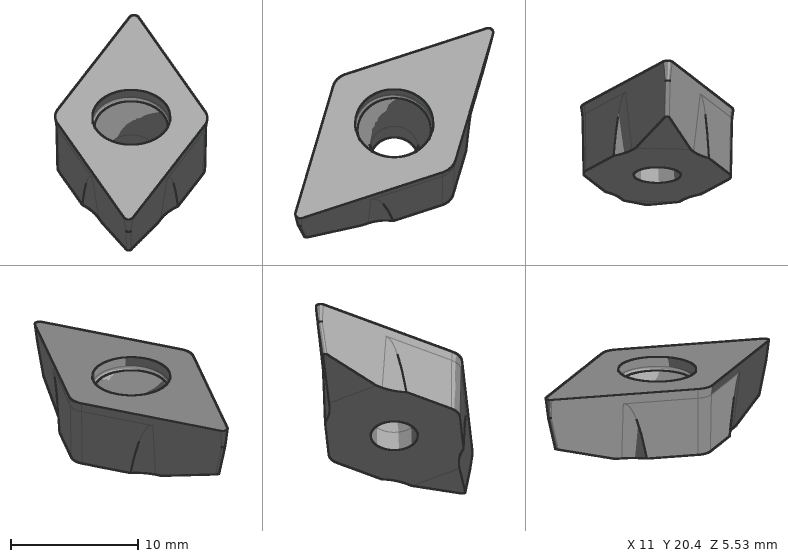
import cadquery as cq
import math

width = 11.0
thickness = 5.53
nose_angle = 55.0
nose_radius = 0.4
blunt_radius = 1.6

relief_angle = 7.0
support_angle = 1.0
support_height = 4.73
cone_height = 3.95
runout_radius = 4.0
runout_offset = 4.0
support_half_length = 7.0

bevel_angle = 15.7
bevel_start = 6.25

bore_diameter = 3.7
head_diameter = 6.14
head_depth = 0.8
seat_diameter = 5.76
wall_fillet = 0.3
seat_angle = 42.0

half_width = width / 2
half_nose = math.radians(nose_angle / 2)
relief_slope = math.tan(math.radians(relief_angle))
support_inset = (thickness - support_height) * relief_slope
cone_inset = (thickness - cone_height) * relief_slope
diagonal_angle = 90 + nose_angle / 2
z_axis = ((0, 0, 0), (0, 0, 1))
big = 4 * width


def rhombus(inset, z):
    """Sharp rhombus at height z, with every side moved inwards by inset; two sides run along Y."""
    reach = half_width - inset
    acute_y = reach / math.tan(half_nose)
    obtuse_y = reach * math.tan(half_nose)
    corners = [(-reach, acute_y), (-reach, -obtuse_y), (reach, -acute_y), (reach, obtuse_y)]
    return cq.Workplane("XY", origin=(0, 0, z)).polyline(corners).close()


def round_corners(prism, acute_radius, obtuse_radius):
    """Fillet the four corner edges of a rhombic prism; the acute pair lies farthest from Z."""
    edges = prism.edges("not #Z").vals()
    edges.sort(key=lambda edge: math.hypot(edge.Center().x, edge.Center().y))
    obtuse_pair = edges[:2]
    acute_pair = edges[2:]
    prism = prism.newObject(acute_pair).fillet(acute_radius)
    return prism.newObject(obtuse_pair).fillet(obtuse_radius)


def rounded_prism(inset, z, acute_radius, obtuse_radius, height, draft):
    """Rounded rhombus extruded downwards from z, narrowing by the draft angle."""
    blank = round_corners(rhombus(inset, z).extrude(-height), acute_radius, obtuse_radius)
    outline = blank.faces(">Z").wires().toPending().workplane()
    return outline.extrude(-height, taper=draft, combine=False)


def relief_body():
    """Insert with all sides at the relief angle: conical noses on top, cylindrical ones below."""
    upper = rounded_prism(0, thickness, nose_radius, blunt_radius, thickness - cone_height, relief_angle)
    lower = rhombus(cone_inset, cone_height).extrude(-cone_height, taper=relief_angle)
    lower = round_corners(lower, nose_radius - cone_inset, blunt_radius - cone_inset)
    return upper.union(lower)


def runout_cutter():
    """Space beside the -X relief face, ending in a concave cylinder towards the obtuse corner."""
    plane = cq.Plane(
        origin=(-half_width, runout_offset, thickness),
        xDir=(0, 1, 0),
        normal=(-relief_slope, 0, 1),
    )
    r = runout_radius
    mid = r * (1 - math.sqrt(0.5))
    return (
        cq.Workplane(plane)
        .lineTo(big, 0)
        .lineTo(big, big)
        .lineTo(-r, big)
        .lineTo(-r, r)
        .threePointArc((mid - r, mid), (0, 0))
        .close()
        .extrude(-2 * thickness)
    )


def support_block():
    """Nearly upright faces around the obtuse corners, run out into the relief faces."""
    block = rounded_prism(
        support_inset, support_height, nose_radius - support_inset, blunt_radius - support_inset,
        support_height, support_angle,
    )
    slab = cq.Workplane("XY").box(2 * support_half_length, big, big)
    block = block.intersect(slab.rotate(*z_axis, diagonal_angle))

    cutter = runout_cutter()
    across = (-math.sin(math.radians(diagonal_angle)), math.cos(math.radians(diagonal_angle)), 0)
    for tool in (cutter, cutter.mirror(across)):
        block = block.cut(tool)
        block = block.cut(tool.rotate(*z_axis, 180))
    return block


def nose_bevels():
    """Wedges that bevel the bottom under both noses."""
    rise = (big - bevel_start) * math.tan(math.radians(bevel_angle))
    wedge = (
        cq.Workplane("XZ")
        .polyline([(bevel_start, 0), (big, 0), (big, rise)])
        .close()
        .extrude(width, both=True)
        .rotate(*z_axis, diagonal_angle)
    )
    return wedge.union(wedge.rotate(*z_axis, 180))


def screw_hole():
    """Straight head recess, small fillet, rounded seat and through bore, revolved about Z."""
    bore = bore_diameter / 2
    head = head_diameter / 2
    seat = seat_diameter / 2
    slope = math.radians(seat_angle)
    turn = math.acos(1 - (head - seat) / wall_fillet)
    seat_radius = (seat - bore) / (1 - math.cos(slope))
    wall_z = thickness - head_depth
    seat_z = wall_z - wall_fillet * math.sin(turn)
    bore_z = seat_z - seat_radius * math.sin(slope)
    fillet_mid = (
        head - wall_fillet * (1 - math.cos(turn / 2)),
        wall_z - wall_fillet * math.sin(turn / 2),
    )
    seat_mid = (
        bore + seat_radius * (1 - math.cos(slope / 2)),
        bore_z + seat_radius * math.sin(slope / 2),
    )
    return (
        cq.Workplane("XZ")
        .moveTo(0, thickness)
        .lineTo(head, thickness)
        .lineTo(head, wall_z)
        .threePointArc(fillet_mid, (seat, seat_z))
        .threePointArc(seat_mid, (bore, bore_z))
        .lineTo(bore, 0)
        .lineTo(0, 0)
        .close()
        .revolve(360, (0, 0, 0), (0, 1, 0))
    )


body = relief_body().union(support_block()).clean()
result = body.cut(nose_bevels()).cut(screw_hole())